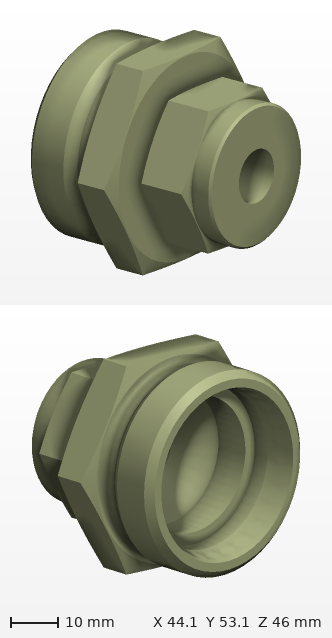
import cadquery as cq
import math

mouth_chamfer = 1.6
thread_end_x = 10.0
groove_start_x = 12.55
body_hex_start_x = 16.0
body_hex_end_x = 25.05
nut_start_x = 27.1
nut_end_x = 39.15
total_length = 44.15

thread_radius = 22.5
groove_radius = thread_radius - mouth_chamfer
groove_fillet = 1.35
body_hex_corner_width = 53.1
neck_radius = 11.95
nut_hex_corner_width = 36.95
sleeve_radius = 15.85
sleeve_edge_chamfer = 0.55

hex_chamfer_angle = 15.0
hex_face_ratio = 0.99

mouth_bore_radius = 19.0
seat_radius = 17.65
seat_cone_angle = 12.0
tube_stop_x = 10.5
chamber_radius = 15.0
chamber_end_x = 18.85
passage_radius = 6.0
chamber_cone_angle = 60.0


def revolve_about_x(profile):
    """Turn a closed (x, radius) profile into a full solid of revolution."""
    return profile.close().revolve(360, (0, 0, 0), (1, 0, 0))


def cylinder(start_x, end_x, radius):
    return cq.Workplane("YZ").workplane(offset=start_x).circle(radius).extrude(end_x - start_x)


def chamfered_hexagon(start_x, end_x, corner_width):
    """Hexagon along X with corners on the Y axis and both ends turned to a shallow cone."""
    corner_radius = corner_width / 2
    face_radius = corner_radius * math.cos(math.pi / 6) * hex_face_ratio
    chamfer_length = (corner_radius - face_radius) * math.tan(math.radians(hex_chamfer_angle))
    prism = cq.Workplane("YZ").workplane(offset=start_x).polygon(6, corner_width).extrude(end_x - start_x)
    turned_envelope = revolve_about_x(
        cq.Workplane("XY")
        .moveTo(start_x, 0)
        .lineTo(start_x, face_radius)
        .lineTo(start_x + chamfer_length, corner_radius)
        .lineTo(end_x - chamfer_length, corner_radius)
        .lineTo(end_x, face_radius)
        .lineTo(end_x, 0)
    )
    return prism.intersect(turned_envelope)


def threaded_end():
    """Chamfered thread cylinder, run-out groove and the fillet up to the hexagon."""
    return revolve_about_x(
        cq.Workplane("XY")
        .lineTo(0, thread_radius - mouth_chamfer)
        .lineTo(mouth_chamfer, thread_radius)
        .lineTo(thread_end_x, thread_radius)
        .lineTo(groove_start_x, groove_radius)
        .lineTo(body_hex_start_x - groove_fillet, groove_radius)
        .radiusArc((body_hex_start_x, groove_radius + groove_fillet), -groove_fillet)
        .lineTo(body_hex_start_x, 0)
    )


def nut_sleeve():
    return cylinder(nut_end_x, total_length, sleeve_radius).faces(">X").chamfer(sleeve_edge_chamfer)


def bore():
    """Tapered tube seat, tube stop, chamber and conical reduction to the through passage."""
    seat_cone_length = (mouth_bore_radius - seat_radius) / math.tan(math.radians(seat_cone_angle))
    chamber_cone_length = (chamber_radius - passage_radius) / math.tan(math.radians(chamber_cone_angle))
    return revolve_about_x(
        cq.Workplane("XY")
        .lineTo(0, mouth_bore_radius)
        .lineTo(seat_cone_length, seat_radius)
        .lineTo(tube_stop_x, seat_radius)
        .lineTo(tube_stop_x, chamber_radius)
        .lineTo(chamber_end_x, chamber_radius)
        .lineTo(chamber_end_x + chamber_cone_length, passage_radius)
        .lineTo(total_length, passage_radius)
        .lineTo(total_length, 0)
    )


result = (
    threaded_end()
    .union(chamfered_hexagon(body_hex_start_x, body_hex_end_x, body_hex_corner_width))
    .union(cylinder(body_hex_end_x, nut_start_x, neck_radius))
    .union(chamfered_hexagon(nut_start_x, nut_end_x, nut_hex_corner_width))
    .union(nut_sleeve())
    .cut(bore())
)